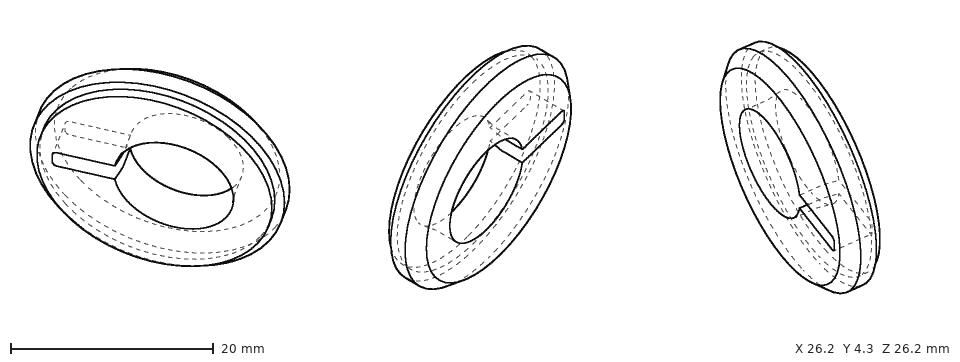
import cadquery as cq

rim_diameter = 26.2
total_thickness = 4.3
shoulder_width = 1.0
spigot_height = 1.0
back_chamfer = 1.5

hole_offset_x = 2.0
hole_diameter = 11.7
hole_mouth_diameter = 12.3
taper_depth = 1.7

slot_width = 2.0
slot_end_x = -10.5
slot_corner_radius = 0.5


def front_circle(diameter, depth=0.0, x=0.0):
    """Circle facing +Y, set at the given depth behind the front face."""
    return cq.Workplane("XZ", origin=(x, depth, 0)).circle(diameter / 2)


def make_disc():
    """Rim with a smaller front spigot and a chamfered back edge."""
    spigot = front_circle(rim_diameter - 2 * shoulder_width).extrude(-spigot_height)
    rim = front_circle(rim_diameter, spigot_height).extrude(spigot_height - total_thickness)
    rim = rim.faces(">Y").chamfer(back_chamfer)
    return spigot.union(rim)


def make_hole():
    """Through hole with a conical mouth narrowing from the front face."""
    half_profile = (
        cq.Workplane("XY", origin=(hole_offset_x, 0, 0))
        .lineTo(hole_mouth_diameter / 2, 0)
        .lineTo(hole_diameter / 2, taper_depth)
        .lineTo(hole_diameter / 2, total_thickness)
        .lineTo(0, total_thickness)
        .close()
    )
    return half_profile.revolve(360, (0, 0, 0), (0, 1, 0))


def make_slot():
    """Through slot with rounded outer corners, ending inside the hole."""
    length = hole_offset_x - slot_end_x
    return (
        cq.Workplane("XZ", origin=(slot_end_x + length / 2, 0, 0))
        .rect(length, slot_width)
        .extrude(-total_thickness)
        .edges("|Y and <X")
        .fillet(slot_corner_radius)
    )


result = make_disc().cut(make_hole()).cut(make_slot())